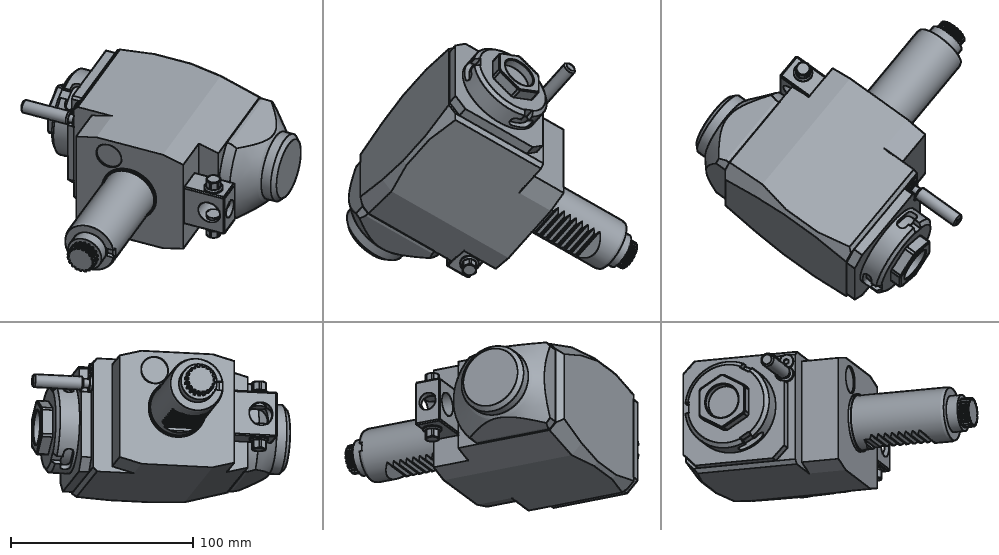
import cadquery as cq
import math


HALF_HEIGHT = 32.0
FOOT_HALF_LENGTH = 32.0
FOOT_TOP = 21.3
BODY_LEFT = -42.7
BODY_RIGHT = 43.8
BODY_BACK = 85.0
BODY_CHAMFER = 2.3
TAPER_START = 19.9
TAPER_SLOPE = math.tan(math.radians(15))
BACK_CHAMFER_LENGTH = 3.0
BACK_CHAMFER_DEPTH = 3.6
DISC_X = -12.5
DISC_Z = 21.5
DISC_RADIUS = 7.52
DISC_DEPTH = 0.9

BACK_EDGE_LEGS = (
    (BODY_LEFT, 6.5),
    (-21.3, 2.3),
    (0.5, 2.3),
    (TAPER_START, 6.1),
    (BODY_RIGHT, 13.8),
)

SPINDLE_Y = 55.2
HEAD_RADIUS = 33.6
HEAD_SHOULDER = 50.2
HEAD_CONE_END = 61.7
HEAD_CONE_RADIUS = 21.0
HEAD_BACK = 81.2
NECK_START = 63.0
NOSE_RADIUS = 19.2
NOSE_END = 71.0
NOSE_CHAMFER = 2.5

PLATE_LEFT = -48.3
PLATE_HALF_HEIGHT = 29.6
PLATE_FRONT = 25.8
PLATE_BACK = 84.5
PLATE_CHAMFER = 6.7
NOTCH_END_RADIUS = 4.9
NOTCH_CHAMFER = 1.4

NUT_LEFT = -61.1
NUT_RADIUS = 24.5
NUT_CHAMFER_LENGTH = 2.0
NUT_CHAMFER_DEPTH = 2.3
NUT_SLOT_ANGLES = (0, 120, 240)
NUT_SLOT_WIDTH = 6.0
NUT_SLOT_FLOOR = 21.5
OBLONG_WIDTH = 5.6
OBLONG_X = -52.9
OBLONG_HALF_ANGLE = 12.7

HEX_LEFT = -67.6
HEX_FLATS = 26.9
HEX_CORNER_RADIUS = 15.0
HEX_CHAMFER = 0.6
BORE_RADIUS = 9.5
BORE_DEPTH = 5.0
BORE_CHAMFER = 0.5

PIN_Y = 26.3
PIN_Z = 18.8
NOTCH_Y = PIN_Y + NOTCH_END_RADIUS
PIN_RADIUS = 3.6
PIN_RIGHT = -47.5
PIN_LEFT = -75.4
PIN_CHAMFER = 0.9
PIN_NECK_RADIUS = 2.5
PIN_NECK_END = -44.1
PIN_FLANGE_RADIUS = 4.1
SCREW_Z = 26.0
SCREW_RADIUS = 4.0
SCREW_HEIGHT = 0.9
SCREW_SOCKET_FLATS = 2.6

COLLAR_RADIUS = 16.0
COLLAR_LENGTH = 1.4
RELIEF_RADIUS = 15.2
RELIEF_END = 2.1
SHANK_RADIUS = 15.0
SHANK_LENGTH = 54.9
SHANK_CHAMFER_LENGTH = 1.7
SHANK_CHAMFER_DEPTH = 0.5
STEM_RADIUS = 10.0
STEM_END = 61.3
SPLINE_TIP = 8.0
SPLINE_ROOT = 7.0
SPLINE_END = 67.0
SPLINE_CHAMFER = 0.5
TOOTH_COUNT = 18
TOOTH_TIP_WIDTH = 0.8
TOOTH_ROOT_WIDTH = 1.5

RACK_START = 6.8
RACK_CHAMFER = 0.9
RACK_DEPTH_Z = 12.3
RACK_ROOT_Z = 10.5
RACK_PITCH = 4.0
RACK_GROOVES = 8
RACK_FIRST = 11.5
RACK_HALF_WIDTH = 1.6

KEY_WIDTH = 5.0
KEY_FLOOR = 9.9
KEY_STEP = 13.0
KEY_DEEP_LENGTH = 2.7
KEY_SHALLOW_LENGTH = 1.8

BLOCK_RIGHT = 56.2
BLOCK_FRONT = 1.0
BLOCK_BACK = 16.3
BLOCK_HALF_HEIGHT = 12.6
BLOCK_CHAMFER = 0.8
BLOCK_HOLE_X = 47.1
BLOCK_HOLE_RADIUS = 6.5
BLOCK_SIDE_HOLE_RADIUS = 5.0
BOLT_Y = 7.0
BOLT_FLANGE_RADIUS = 5.2
BOLT_FLANGE_RIM = 13.4
BOLT_FLANGE_TOP = 14.1
BOLT_FLATS = 7.6
BOLT_CORNER_RADIUS = 4.1
BOLT_TOP = 19.0
BOLT_TIP = 4.9
BOLT_TIP_RADIUS = 4.1
BOLT_CHAMFER = 0.6


def turned_on_spindle(points):
    """Turn an (x, radius) outline about the spindle axis."""
    outline = [(x, SPINDLE_Y + radius) for x, radius in points]
    return cq.Workplane("XY").polyline(outline).close().revolve(360, (0, SPINDLE_Y), (1, SPINDLE_Y))


def disc_along_x(x_start, x_end, radius, y, z):
    return cq.Workplane("YZ", origin=(x_start, y, z)).circle(radius).extrude(x_end - x_start)


def prism_along_y(points, y_start, y_end):
    """Extrude an (x, z) outline from y_start to y_end."""
    return cq.Workplane("XZ", origin=(0, y_start, 0)).polyline(points).close().extrude(y_start - y_end)


def box_between(x, y, z):
    size = [high - low for low, high in (x, y, z)]
    return cq.Workplane("XY", origin=(x[0], y[0], z[0])).box(*size, centered=False)


def mirrored_outline(upper):
    """Close an upper (x, z) outline with its mirror image below z = 0."""
    return upper + [(x, -z) for x, z in reversed(upper)]


def taper_height(x):
    """Half height of the body at x, beyond the start of the taper."""
    return HALF_HEIGHT - (abs(x) - TAPER_START) * TAPER_SLOPE


def back_edge_cutter(side):
    """Wedge along a long back edge; its 45 degree legs grow towards both ends of the body."""
    edge_z = side * HALF_HEIGHT
    sections = []
    for x, leg in BACK_EDGE_LEGS:
        corners = [
            cq.Vector(x, BODY_BACK, edge_z),
            cq.Vector(x, BODY_BACK - leg, edge_z),
            cq.Vector(x, BODY_BACK, edge_z - side * leg),
        ]
        sections.append(cq.Wire.makePolygon(corners, close=True))
    return cq.Workplane(cq.Solid.makeLoft(sections, True))


def make_body():
    outline = mirrored_outline([
        (BODY_LEFT, HALF_HEIGHT - BODY_CHAMFER),
        (BODY_LEFT + BODY_CHAMFER, HALF_HEIGHT),
        (TAPER_START, HALF_HEIGHT),
        (BODY_RIGHT, taper_height(BODY_RIGHT)),
    ])
    body = prism_along_y(outline, FOOT_TOP, BODY_BACK)

    for side in (1, -1):
        body = body.cut(back_edge_cutter(side))

    back_chamfer = (
        cq.Workplane("XY", origin=(0, 0, -HALF_HEIGHT))
        .moveTo(BODY_RIGHT, BODY_BACK)
        .lineTo(BODY_RIGHT - BACK_CHAMFER_LENGTH, BODY_BACK)
        .lineTo(BODY_RIGHT, BODY_BACK - BACK_CHAMFER_DEPTH)
        .close()
        .extrude(2 * HALF_HEIGHT)
    )
    return body.cut(back_chamfer)


def make_foot():
    edge_height = taper_height(FOOT_HALF_LENGTH)
    outline = mirrored_outline([
        (-FOOT_HALF_LENGTH, edge_height),
        (-TAPER_START, HALF_HEIGHT),
        (TAPER_START, HALF_HEIGHT),
        (FOOT_HALF_LENGTH, edge_height),
    ])
    foot = prism_along_y(outline, 0, FOOT_TOP)
    recess = cq.Workplane("XZ", origin=(DISC_X, 0, DISC_Z)).circle(DISC_RADIUS).extrude(-DISC_DEPTH)
    return foot.cut(recess)


def make_head():
    cone = turned_on_spindle([
        (BODY_RIGHT, 0),
        (BODY_RIGHT, HEAD_RADIUS),
        (HEAD_SHOULDER, HEAD_RADIUS),
        (HEAD_CONE_END, HEAD_CONE_RADIUS),
        (NECK_START, NOSE_RADIUS),
        (NECK_START, 0),
    ])
    flat_height = taper_height(BODY_RIGHT) - 0.6
    flat_end = TAPER_START + (HALF_HEIGHT - flat_height) / TAPER_SLOPE
    flats = mirrored_outline([
        (BODY_RIGHT, flat_height),
        (flat_end, flat_height),
        (NECK_START, taper_height(NECK_START)),
    ])
    cone = cone.intersect(prism_along_y(flats, 0, HEAD_BACK))

    nose = turned_on_spindle([
        (NECK_START, 0),
        (NECK_START, NOSE_RADIUS),
        (NOSE_END - NOSE_CHAMFER, NOSE_RADIUS),
        (NOSE_END, NOSE_RADIUS - NOSE_CHAMFER),
        (NOSE_END, 0),
    ])
    return cone.union(nose)


def make_plate():
    outline = [
        (PLATE_FRONT, PLATE_CHAMFER - PLATE_HALF_HEIGHT),
        (PLATE_FRONT + PLATE_CHAMFER, -PLATE_HALF_HEIGHT),
        (PLATE_BACK - PLATE_CHAMFER, -PLATE_HALF_HEIGHT),
        (PLATE_BACK, PLATE_CHAMFER - PLATE_HALF_HEIGHT),
        (PLATE_BACK, PLATE_HALF_HEIGHT - PLATE_CHAMFER),
        (PLATE_BACK - PLATE_CHAMFER, PLATE_HALF_HEIGHT),
        (NOTCH_Y + NOTCH_CHAMFER, PLATE_HALF_HEIGHT),
        (NOTCH_Y, PLATE_HALF_HEIGHT - NOTCH_CHAMFER),
        (NOTCH_Y, PIN_Z),
        (PLATE_FRONT, PIN_Z),
    ]
    thickness = BODY_LEFT - PLATE_LEFT
    plate = cq.Workplane("YZ", origin=(PLATE_LEFT, 0, 0)).polyline(outline).close().extrude(thickness)
    return plate.cut(disc_along_x(PLATE_LEFT, BODY_LEFT, NOTCH_END_RADIUS, PIN_Y, PIN_Z))


def make_nut():
    nut = turned_on_spindle([
        (NUT_LEFT, 0),
        (NUT_LEFT, NUT_RADIUS - NUT_CHAMFER_DEPTH),
        (NUT_LEFT + NUT_CHAMFER_LENGTH, NUT_RADIUS),
        (PLATE_LEFT, NUT_RADIUS),
        (PLATE_LEFT, 0),
    ])

    outside = SPINDLE_Y + NUT_RADIUS + 1.5
    axis_start = (0, SPINDLE_Y, 0)
    axis_end = (1, SPINDLE_Y, 0)
    rim_slot = box_between(
        (NUT_LEFT, OBLONG_X),
        (SPINDLE_Y + NUT_SLOT_FLOOR, outside),
        (-NUT_SLOT_WIDTH / 2, NUT_SLOT_WIDTH / 2),
    )
    oblong = (
        cq.Workplane("XY")
        .moveTo(OBLONG_X, (SPINDLE_Y + NUT_SLOT_FLOOR + outside) / 2)
        .rect(OBLONG_WIDTH, outside - SPINDLE_Y - NUT_SLOT_FLOOR)
        .revolve(2 * OBLONG_HALF_ANGLE, (0, SPINDLE_Y), (1, SPINDLE_Y))
        .rotate(axis_start, axis_end, -OBLONG_HALF_ANGLE)
    )
    round_end = (
        cq.Workplane("XZ", origin=(OBLONG_X, SPINDLE_Y + NUT_SLOT_FLOOR, 0))
        .circle(OBLONG_WIDTH / 2)
        .extrude(SPINDLE_Y + NUT_SLOT_FLOOR - outside)
    )
    for angle in (-OBLONG_HALF_ANGLE, OBLONG_HALF_ANGLE):
        oblong = oblong.union(round_end.rotate(axis_start, axis_end, angle))

    for angle in NUT_SLOT_ANGLES:
        nut = nut.cut(rim_slot.rotate(axis_start, axis_end, angle))
        nut = nut.cut(oblong.rotate(axis_start, axis_end, angle))
    return nut


def hexagon(workplane, flats, length):
    """Hexagonal prism with a corner on the local y axis."""
    return workplane.polygon(6, flats, circumscribed=True).extrude(length)


def make_hex():
    length = NUT_LEFT - HEX_LEFT
    plane = cq.Workplane("YZ", origin=(HEX_LEFT, SPINDLE_Y, 0))
    blank = disc_along_x(HEX_LEFT, NUT_LEFT, HEX_CORNER_RADIUS, SPINDLE_Y, 0)
    head = hexagon(plane, HEX_FLATS, length).intersect(blank).faces("<X").chamfer(HEX_CHAMFER)
    bore = disc_along_x(HEX_LEFT, HEX_LEFT + BORE_DEPTH, BORE_RADIUS, SPINDLE_Y, 0)
    head = head.cut(bore)
    rim = cq.selectors.RadiusNthSelector(0)
    return head.faces("<X").edges("%CIRCLE").edges(rim).chamfer(BORE_CHAMFER)


def make_pin():
    pin = disc_along_x(PIN_LEFT, PIN_RIGHT, PIN_RADIUS, PIN_Y, PIN_Z).faces("|X").chamfer(PIN_CHAMFER)
    neck = disc_along_x(PIN_RIGHT, PIN_NECK_END, PIN_NECK_RADIUS, PIN_Y, PIN_Z)
    flange = disc_along_x(PIN_NECK_END, BODY_LEFT, PIN_FLANGE_RADIUS, PIN_Y, PIN_Z)
    return pin.union(neck).union(flange)


def make_retaining_screw():
    left = BODY_LEFT - SCREW_HEIGHT
    head = disc_along_x(left, BODY_LEFT, SCREW_RADIUS, PIN_Y, SCREW_Z)
    socket_plane = cq.Workplane("YZ", origin=(left, PIN_Y, SCREW_Z))
    return head.cut(hexagon(socket_plane, SCREW_SOCKET_FLATS, SCREW_HEIGHT))


def make_shank():
    profile = [
        (0, 0),
        (COLLAR_RADIUS, 0),
        (COLLAR_RADIUS, -COLLAR_LENGTH),
        (RELIEF_RADIUS, -COLLAR_LENGTH),
        (SHANK_RADIUS, -RELIEF_END),
        (SHANK_RADIUS, SHANK_CHAMFER_LENGTH - SHANK_LENGTH),
        (SHANK_RADIUS - SHANK_CHAMFER_DEPTH, -SHANK_LENGTH),
        (STEM_RADIUS, -SHANK_LENGTH),
        (STEM_RADIUS, -STEM_END),
        (0, -STEM_END),
    ]
    shank = cq.Workplane("XY").polyline(profile).close().revolve(360, (0, 0), (0, 1))
    return shank.cut(rack_cutter()).cut(key_slot_cutter())


def rack_cutter():
    """Toothed flat across the underside of the shank, drawn in the YZ plane."""
    outline = [
        (RACK_CHAMFER - RACK_START, -SHANK_RADIUS),
        (-RACK_START, RACK_CHAMFER - SHANK_RADIUS),
        (-RACK_START, -RACK_DEPTH_Z),
    ]
    for groove in range(RACK_GROOVES):
        root_y = -RACK_FIRST - groove * RACK_PITCH
        outline.append((root_y + RACK_HALF_WIDTH, -RACK_DEPTH_Z))
        outline.append((root_y, -RACK_ROOT_Z))
        if groove < RACK_GROOVES - 1:
            outline.append((root_y - RACK_HALF_WIDTH, -RACK_DEPTH_Z))
    outline.append((root_y - (SHANK_RADIUS - RACK_ROOT_Z), -SHANK_RADIUS))
    return (
        cq.Workplane("YZ", origin=(-SHANK_RADIUS, 0, 0))
        .polyline(outline)
        .close()
        .extrude(2 * SHANK_RADIUS)
    )


def key_slot_cutter():
    """Stepped slot in the +X side of the end face of the shank."""
    width = (-KEY_WIDTH / 2, KEY_WIDTH / 2)
    deep = box_between((KEY_FLOOR, KEY_STEP), (-SHANK_LENGTH, KEY_DEEP_LENGTH - SHANK_LENGTH), width)
    shallow = box_between((KEY_STEP, COLLAR_RADIUS), (-SHANK_LENGTH, KEY_SHALLOW_LENGTH - SHANK_LENGTH), width)
    return deep.union(shallow)


def make_spline():
    length = SPLINE_END - STEM_END
    start = cq.Workplane("XZ", origin=(0, -STEM_END, 0))
    tooth = (
        start.moveTo(-TOOTH_ROOT_WIDTH / 2, 0)
        .lineTo(-TOOTH_ROOT_WIDTH / 2, SPLINE_ROOT)
        .lineTo(-TOOTH_TIP_WIDTH / 2, SPLINE_TIP)
        .lineTo(TOOTH_TIP_WIDTH / 2, SPLINE_TIP)
        .lineTo(TOOTH_ROOT_WIDTH / 2, SPLINE_ROOT)
        .lineTo(TOOTH_ROOT_WIDTH / 2, 0)
        .close()
        .extrude(length)
    )
    spline = start.circle(SPLINE_ROOT).extrude(length)
    for index in range(TOOTH_COUNT):
        spline = spline.union(tooth.rotate((0, 0, 0), (0, 1, 0), index * 360 / TOOTH_COUNT))
    blank = start.circle(SPLINE_TIP).extrude(length).faces("<Y").chamfer(SPLINE_CHAMFER)
    return spline.intersect(blank)


def make_bolt():
    """Upper clamping bolt with a flanged hexagon head."""
    flange = (
        cq.Workplane("XZ")
        .moveTo(0, BLOCK_HALF_HEIGHT)
        .lineTo(BOLT_FLANGE_RADIUS, BLOCK_HALF_HEIGHT)
        .lineTo(BOLT_FLANGE_RADIUS, BOLT_FLANGE_RIM)
        .lineTo(BOLT_CORNER_RADIUS, BOLT_FLANGE_TOP)
        .lineTo(0, BOLT_FLANGE_TOP)
        .close()
        .revolve(360, (0, 0), (0, 1))
    )
    plane = cq.Workplane("XY", origin=(0, 0, BOLT_FLANGE_TOP))
    head_length = BOLT_TOP - BOLT_FLANGE_TOP
    blank = plane.circle(BOLT_CORNER_RADIUS).extrude(head_length).faces(">Z").chamfer(BOLT_CHAMFER)
    head = hexagon(plane, BOLT_FLATS, head_length).intersect(blank)
    tip = (
        cq.Workplane("XY", origin=(0, 0, BOLT_TIP))
        .circle(BOLT_TIP_RADIUS)
        .extrude(BLOCK_HALF_HEIGHT - BOLT_TIP)
    )
    return flange.union(head).union(tip).translate((BLOCK_HOLE_X, BOLT_Y, 0))


def make_clamp_block():
    block = (
        box_between(
            (FOOT_HALF_LENGTH, BLOCK_RIGHT),
            (BLOCK_FRONT, BLOCK_BACK),
            (-BLOCK_HALF_HEIGHT, BLOCK_HALF_HEIGHT),
        )
        .edges("not <X")
        .chamfer(BLOCK_CHAMFER)
    )
    hole = (
        cq.Workplane("XZ", origin=(BLOCK_HOLE_X, 0, 0))
        .circle(BLOCK_HOLE_RADIUS)
        .extrude(-FOOT_TOP)
    )
    middle_y = (BLOCK_FRONT + BLOCK_BACK) / 2
    side_hole = disc_along_x(BLOCK_HOLE_X, BLOCK_RIGHT, BLOCK_SIDE_HOLE_RADIUS, middle_y, 0)
    bolt = make_bolt()
    return block.cut(hole).cut(side_hole).union(bolt).union(bolt.mirror("XY"))


parts = (
    make_foot(),
    make_head(),
    make_plate(),
    make_nut(),
    make_hex(),
    make_pin(),
    make_retaining_screw(),
    make_shank(),
    make_spline(),
    make_clamp_block(),
)
result = make_body()
for part in parts:
    result = result.union(part)